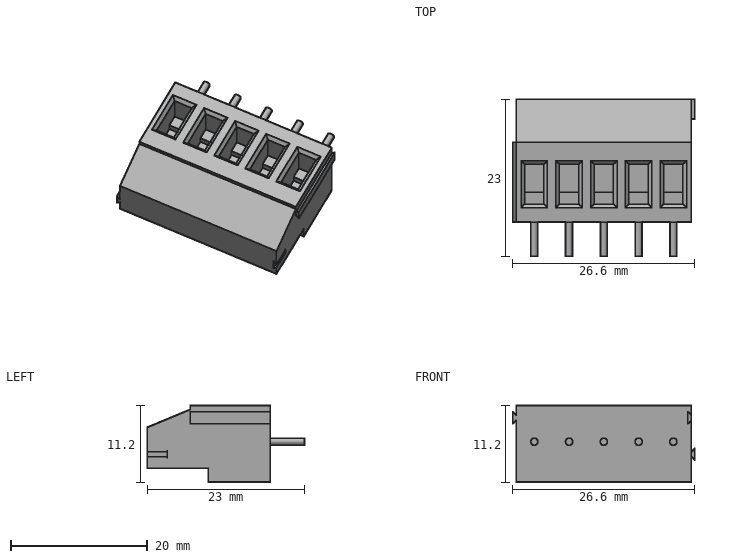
import cadquery as cq

POLE_COUNT = 5
PITCH = 5.08

OVERALL_WIDTH = 26.62
RAIL_DEPTH = 0.508
BODY_WIDTH = OVERALL_WIDTH - 2 * RAIL_DEPTH
BODY_DEPTH = 18.0
BODY_HEIGHT = 11.2
TOP_DEPTH = 11.7
LEDGE_HEIGHT = 0.57
BACK_TOP_Z = 8.0
BASE_DEPTH = 9.1
STEP_HEIGHT = 2.0

WELL_WIDTH = 2.81
WELL_LENGTH = 5.81
WELL_CENTRE_Y = 5.57
WELL_CHAMFER = 0.52
WELL_DEPTH = 5.6
WELL_SHELF_LENGTH = 1.7
WELL_SHELF_HEIGHT = 1.0

PIN_DIAMETER = 1.05
PIN_LENGTH = 5.0
PIN_Z = 5.9

DOVETAIL_NECK = 0.762
DOVETAIL_HEAD = DOVETAIL_NECK + 2 * RAIL_DEPTH
UPPER_DOVETAIL_DROP = 1.8
LOWER_DOVETAIL_DROP = 7.13
UPPER_DOVETAIL_Z = BODY_HEIGHT - UPPER_DOVETAIL_DROP
LOWER_DOVETAIL_Z = BODY_HEIGHT - LOWER_DOVETAIL_DROP
LOWER_DOVETAIL_LENGTH = 2.95

POLE_XS = [(i - (POLE_COUNT - 1) / 2) * PITCH for i in range(POLE_COUNT)]


def make_housing():
    """Side profile extruded across the full body width."""
    profile = [
        (0, 0),
        (BASE_DEPTH, 0),
        (BASE_DEPTH, STEP_HEIGHT),
        (BODY_DEPTH, STEP_HEIGHT),
        (BODY_DEPTH, BACK_TOP_Z),
        (TOP_DEPTH, BODY_HEIGHT - LEDGE_HEIGHT),
        (TOP_DEPTH, BODY_HEIGHT),
        (0, BODY_HEIGHT),
    ]
    return cq.Workplane("YZ").polyline(profile).close().extrude(BODY_WIDTH / 2, both=True)


def make_dovetail(neck_x, z, y_start, length):
    """Dovetail bar along Y that widens from its neck toward -X."""
    sketch = cq.Workplane("XZ", origin=(neck_x, y_start, z))
    section = [
        (0, -DOVETAIL_NECK / 2),
        (0, DOVETAIL_NECK / 2),
        (-RAIL_DEPTH, DOVETAIL_HEAD / 2),
        (-RAIL_DEPTH, -DOVETAIL_HEAD / 2),
    ]
    return sketch.polyline(section).close().extrude(-length)


def make_well(x):
    """Rectangular well with a chamfered mouth and a shelf on its floor."""
    floor_z = BODY_HEIGHT - WELL_DEPTH
    well = (
        cq.Workplane("XY", origin=(x, WELL_CENTRE_Y, floor_z))
        .rect(WELL_WIDTH, WELL_LENGTH)
        .extrude(WELL_DEPTH)
    )
    mouth = (
        cq.Workplane("XY", origin=(x, WELL_CENTRE_Y, BODY_HEIGHT))
        .rect(WELL_WIDTH + 2 * WELL_CHAMFER, WELL_LENGTH + 2 * WELL_CHAMFER)
        .workplane(offset=-WELL_CHAMFER)
        .rect(WELL_WIDTH, WELL_LENGTH)
        .loft(ruled=True)
    )
    shelf_y = WELL_CENTRE_Y - WELL_LENGTH / 2 + WELL_SHELF_LENGTH / 2
    shelf = (
        cq.Workplane("XY", origin=(x, shelf_y, floor_z))
        .rect(WELL_WIDTH, WELL_SHELF_LENGTH)
        .extrude(WELL_SHELF_HEIGHT)
    )
    return well.cut(shelf).union(mouth)


def make_pin(x):
    """Round solder pin standing out of the pin face toward -Y."""
    return cq.Workplane("XZ", origin=(x, 0, PIN_Z)).circle(PIN_DIAMETER / 2).extrude(PIN_LENGTH)


left_x = -BODY_WIDTH / 2
right_x = BODY_WIDTH / 2
lower_start_y = BODY_DEPTH - LOWER_DOVETAIL_LENGTH

upper_rail = make_dovetail(left_x, UPPER_DOVETAIL_Z, 0, TOP_DEPTH)
upper_groove = make_dovetail(right_x, UPPER_DOVETAIL_Z, 0, TOP_DEPTH)

lower_rail = make_dovetail(right_x, LOWER_DOVETAIL_Z, lower_start_y, LOWER_DOVETAIL_LENGTH)
lower_rail = lower_rail.mirror("YZ", (right_x, 0, 0))
lower_groove = make_dovetail(left_x, LOWER_DOVETAIL_Z, lower_start_y, LOWER_DOVETAIL_LENGTH)
lower_groove = lower_groove.mirror("YZ", (left_x, 0, 0))

result = make_housing().cut(upper_groove).cut(lower_groove)
result = result.union(upper_rail).union(lower_rail)

for pole_x in POLE_XS:
    result = result.cut(make_well(pole_x)).union(make_pin(pole_x))